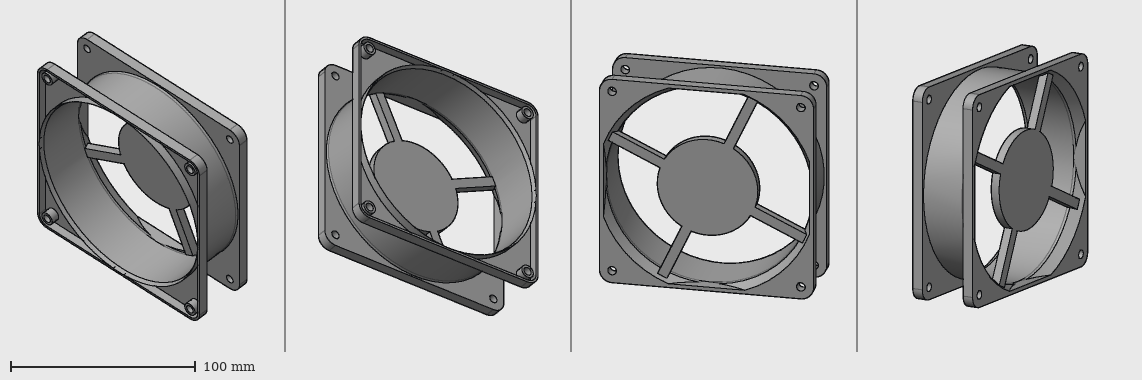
import cadquery as cq
frame_size = 118.87
frame_depth = 38.1
corner_radius = 7.11

flange_depth = 6.1
floor_thickness = 1.02
rim_width = 1.4

hole_spacing = 104.78
hole_diameter = 4.75
boss_diameter = 7.62

throat_diameter = 114.3
duct_diameter = 116.33
lip_depth = 2.5
collar_depth = 1.52
collar_flare = 0.3

outlet_diameter = 121.92
outlet_width = throat_diameter

hub_diameter = 55.88
hub_thickness = 5.08
strut_width = 5.75
strut_count = 4
strut_angle = 25.0

front_y = -frame_depth / 2
rear_y = frame_depth / 2
floor_y = front_y + flange_depth - floor_thickness
duct_front_y = front_y + flange_depth
duct_rear_y = rear_y - flange_depth
collar_front_y = duct_rear_y - collar_depth
hub_front_y = collar_front_y


def plane_at(y):
    """Sketch plane normal to +Y at the given station."""
    return cq.Workplane(cq.Plane(origin=(0, y, 0), xDir=(1, 0, 0), normal=(0, 1, 0)))


def square_block(size, y_start, y_end):
    return plane_at(y_start).rect(size, size).extrude(y_end - y_start)


def rounded_block(size, radius, y_start, y_end):
    return square_block(size, y_start, y_end).edges("|Y").fillet(radius)


def corner_cylinders(diameter, y_start, y_end):
    """Four cylinders along Y on the mounting hole pattern."""
    corners = plane_at(y_start).rect(hole_spacing, hole_spacing, forConstruction=True).vertices()
    return corners.circle(diameter / 2).extrude(y_end - y_start)


def revolve_about_y(points):
    return cq.Workplane("XY").polyline(points).close().revolve(360, (0, 0, 0), (0, 1, 0))


def front_flange():
    """Tray open to the front, with a thin floor and a boss in each corner."""
    body = rounded_block(frame_size, corner_radius, front_y, duct_front_y)
    pocket_size = frame_size - 2 * rim_width
    pocket = rounded_block(pocket_size, corner_radius - rim_width, front_y, floor_y)
    bosses = corner_cylinders(boss_diameter, front_y, duct_front_y)
    return body.cut(pocket).union(bosses)


def rear_flange():
    return rounded_block(frame_size, corner_radius, duct_rear_y, rear_y)


def duct_body():
    """Filled tube with a short conical collar against the rear flange."""
    duct_radius = duct_diameter / 2
    return revolve_about_y([
        (0, front_y),
        (duct_radius, front_y),
        (duct_radius, collar_front_y),
        (duct_radius + collar_flare, duct_rear_y),
        (0, duct_rear_y),
    ])


def duct_bore():
    """Air passage: bevelled to a sharp lip in front, opening out into the four corners at the rear."""
    throat_radius = throat_diameter / 2
    passage = revolve_about_y([
        (0, front_y),
        (duct_diameter / 2, front_y),
        (throat_radius, front_y + lip_depth),
        (throat_radius, collar_front_y),
        (throat_radius + collar_flare, duct_rear_y),
        (outlet_diameter / 2, rear_y),
        (0, rear_y),
    ])
    front_limit = square_block(frame_size, front_y, collar_front_y)
    outlet_limit = square_block(outlet_width, collar_front_y, rear_y)
    return passage.intersect(front_limit.union(outlet_limit))


def hub_and_struts(bore):
    """Hub disc with evenly spaced radial struts that end on the bore surface."""
    spider = plane_at(hub_front_y).circle(hub_diameter / 2).extrude(hub_thickness)
    for i in range(strut_count):
        strut = cq.Workplane("XY").box(
            outlet_diameter / 2, hub_thickness, strut_width, centered=(False, False, True)
        )
        angle = i * 360 / strut_count - strut_angle
        strut = strut.rotate((0, 0, 0), (0, 1, 0), angle).translate((0, hub_front_y, 0))
        spider = spider.union(strut)
    return spider.intersect(bore)


bore = duct_bore()
frame = front_flange().union(duct_body()).union(rear_flange()).cut(bore)
frame = frame.union(hub_and_struts(bore))
result = frame.cut(corner_cylinders(hole_diameter, front_y, rear_y))